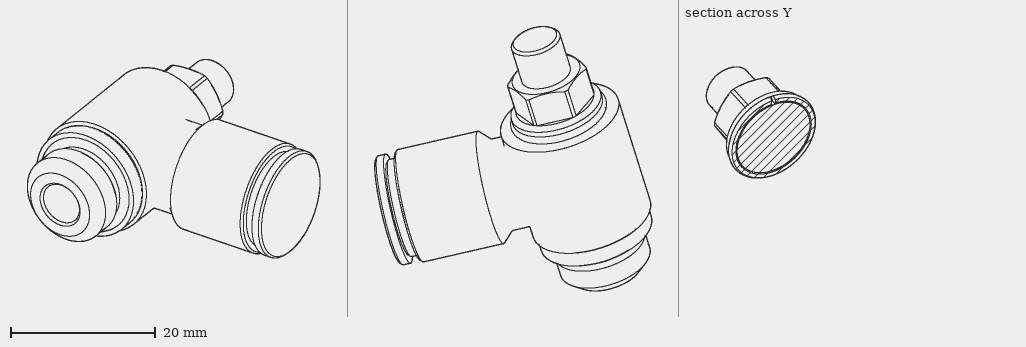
import cadquery as cq
import math


body_radius = 8.5
body_half_length = body_radius

collar_radius = 8.0
collar_gap_radius = 7.85
collar_gap = 0.25
collar_end_y = -11.0
seal_tube_radius = 0.7
relief_radius = 5.85
thread_radius = 6.48
relief_end_y = -12.3
overall_length = 39.0
thread_end_y = -17.35
thread_chamfer = 1.6
bore_radius = 2.95
bore_chamfer = 0.35
bore_depth = 7.8

ring_tube_radius = 0.55
ring_outer_radius = 6.85
ring_seat_radius = 5.85
ring_split_width = 0.5
washer_start_y = 9.67
washer_radius = thread_radius
washer_cone_length = 0.5
hex_start_y = 10.95
hex_end_y = 15.72
hex_sides = 6
hex_across_flats = 10.0
hex_corner_radius = 5.6
hex_chamfer_length = 0.43
hex_chamfer_angle = 30
stud_radius = 3.5
stud_end_y = thread_end_y + overall_length
stud_chamfer = 0.4

neck_radius = 6.5
neck_body_fillet = 0.4
neck_cone_fillet = 0.55
socket_radius = 8.0
cone_end_x = 12.15
socket_end_x = 23.95
sleeve_radius = 6.9
edge_chamfer = 0.3
flange_start_x = 25.45
flange_end_x = 26.8
flange_radius = 7.75


def make_body():
    """Swivel body with the socket neck blended into it."""
    body = cq.Workplane("XZ").circle(body_radius).extrude(body_half_length, both=True)
    neck = cq.Workplane("YZ").circle(neck_radius).extrude(cone_end_x)
    return body.union(neck).edges("%BSPLINE").fillet(neck_body_fillet)


def make_socket():
    """Socket with its 45 degree shoulder, release sleeve and end flange, turned about X."""
    cone_start_x = cone_end_x - (socket_radius - neck_radius)
    shoulder_angle = math.radians(45)
    half_turn = shoulder_angle / 2
    tangent = neck_cone_fillet * math.tan(half_turn)
    arc_middle = (
        cone_start_x - tangent + neck_cone_fillet * math.sin(half_turn),
        neck_radius + neck_cone_fillet * (1 - math.cos(half_turn)),
    )
    arc_end = (
        cone_start_x + tangent * math.cos(shoulder_angle),
        neck_radius + tangent * math.sin(shoulder_angle),
    )
    return (
        cq.Workplane("XY")
        .lineTo(0, neck_radius)
        .lineTo(cone_start_x - tangent, neck_radius)
        .threePointArc(arc_middle, arc_end)
        .lineTo(cone_end_x, socket_radius)
        .lineTo(socket_end_x - edge_chamfer, socket_radius)
        .lineTo(socket_end_x, socket_radius - edge_chamfer)
        .lineTo(socket_end_x, sleeve_radius)
        .lineTo(flange_start_x - edge_chamfer, sleeve_radius)
        .lineTo(flange_start_x, sleeve_radius - edge_chamfer)
        .lineTo(flange_start_x, flange_radius)
        .lineTo(flange_end_x - edge_chamfer, flange_radius)
        .lineTo(flange_end_x, flange_radius - edge_chamfer)
        .lineTo(flange_end_x, 0)
        .close()
        .revolve(360, (0, 0, 0), (1, 0, 0))
    )


def make_threaded_end():
    """Collar, seal ring, thread relief and thread, turned about Y."""
    collar_start_y = -body_half_length - collar_gap
    relief_cone = thread_radius - relief_radius
    seal_center_radius = relief_radius + seal_tube_radius
    return (
        cq.Workplane("XY")
        .lineTo(collar_gap_radius, 0)
        .lineTo(collar_gap_radius, collar_start_y)
        .lineTo(collar_radius, collar_start_y)
        .lineTo(collar_radius, collar_end_y)
        .lineTo(seal_center_radius + seal_tube_radius, collar_end_y)
        .threePointArc(
            (seal_center_radius, collar_end_y - seal_tube_radius), (relief_radius, collar_end_y)
        )
        .lineTo(relief_radius, relief_end_y)
        .lineTo(thread_radius, relief_end_y - relief_cone)
        .lineTo(thread_radius, thread_end_y + thread_chamfer)
        .lineTo(thread_radius - thread_chamfer, thread_end_y)
        .lineTo(0, thread_end_y)
        .close()
        .revolve(360, (0, 0, 0), (0, 1, 0))
    )


def make_bore():
    """Blind bore with a chamfered mouth, entering from the threaded end."""
    return (
        cq.Workplane("XY")
        .moveTo(0, thread_end_y)
        .lineTo(bore_radius + bore_chamfer, thread_end_y)
        .lineTo(bore_radius, thread_end_y + bore_chamfer)
        .lineTo(bore_radius, thread_end_y + bore_depth)
        .lineTo(0, thread_end_y + bore_depth)
        .close()
        .revolve(360, (0, 0, 0), (0, 1, 0))
    )


def make_split_ring():
    """Round-wire retaining ring next to the body, split at +Z."""
    wire_center = (ring_outer_radius - ring_tube_radius, body_half_length + ring_tube_radius)
    ring = (
        cq.Workplane("XY")
        .moveTo(*wire_center)
        .circle(ring_tube_radius)
        .revolve(360, (0, 0, 0), (0, 1, 0))
    )
    split = cq.Workplane("XY").box(
        ring_split_width, stud_end_y, ring_outer_radius, centered=(True, False, False)
    )
    return ring.cut(split)


def make_drive_end():
    """Ring seat, coned washer face and adjusting stud, turned about Y."""
    return (
        cq.Workplane("XY")
        .lineTo(ring_seat_radius, 0)
        .lineTo(ring_seat_radius, washer_start_y)
        .lineTo(washer_radius, washer_start_y)
        .lineTo(washer_radius, hex_start_y - washer_cone_length)
        .lineTo(hex_corner_radius, hex_start_y)
        .lineTo(stud_radius, hex_start_y)
        .lineTo(stud_radius, stud_end_y - stud_chamfer)
        .lineTo(stud_radius - stud_chamfer, stud_end_y)
        .lineTo(0, stud_end_y)
        .close()
        .revolve(360, (0, 0, 0), (0, 1, 0))
    )


def make_hexagon():
    """Hexagon with flats facing +Z and -Z, its corners turned down and chamfered."""
    chamfer_width = hex_chamfer_length / math.tan(math.radians(hex_chamfer_angle))
    half_sector_angle = 360 / hex_sides / 2
    hexagon = (
        cq.Workplane("XZ", origin=(0, hex_end_y, 0))
        .transformed(rotate=(0, 0, half_sector_angle))
        .polygon(hex_sides, hex_across_flats, circumscribed=True)
        .extrude(hex_end_y - hex_start_y)
    )
    turned_envelope = (
        cq.Workplane("XY")
        .moveTo(0, hex_start_y)
        .lineTo(hex_corner_radius, hex_start_y)
        .lineTo(hex_corner_radius, hex_end_y - hex_chamfer_length)
        .lineTo(hex_corner_radius - chamfer_width, hex_end_y)
        .lineTo(0, hex_end_y)
        .close()
        .revolve(360, (0, 0, 0), (0, 1, 0))
    )
    return hexagon.intersect(turned_envelope)


result = (
    make_body()
    .union(make_socket())
    .union(make_threaded_end())
    .union(make_drive_end())
    .union(make_hexagon())
    .union(make_split_ring())
    .cut(make_bore())
)